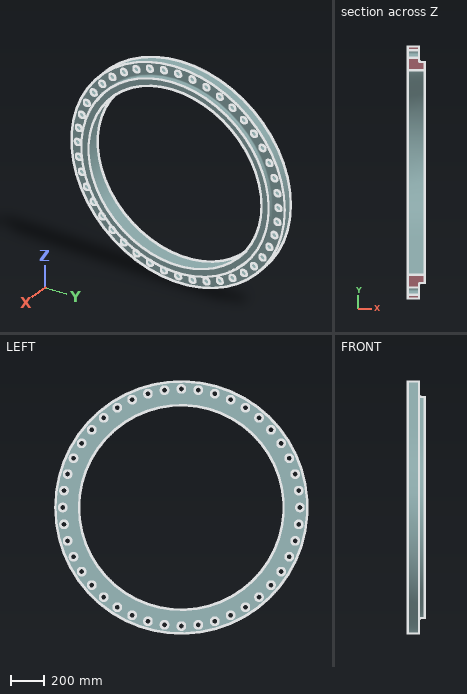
import cadquery as cq

outer_diameter = 1511.0
bore_diameter = 1224.0
flange_thickness = 70.0
total_thickness = 105.0

hub_diameter = 1327.0
hub_fillet_radius = 9.0

bolt_circle_diameter = 1420.0
bolt_hole_diameter = 42.0
bolt_count = 44


def disc(diameter, thickness):
    """Solid disc standing on the YZ plane and growing towards +X."""
    return cq.Workplane("YZ").circle(diameter / 2).extrude(thickness)


def flange_with_hub():
    """Flange and hub without any holes, filleted at the hub root."""
    body = disc(outer_diameter, flange_thickness).union(disc(hub_diameter, total_thickness))
    flange_back_edges = body.faces(cq.selectors.NearestToPointSelector(
        (flange_thickness, 0, 0))).edges()
    hub_root = flange_back_edges.edges(cq.selectors.RadiusNthSelector(0))
    return hub_root.fillet(hub_fillet_radius)


def bolt_holes():
    """Cylinders for the bolt holes, the first one on the Y axis."""
    return (
        cq.Workplane("YZ")
        .polarArray(bolt_circle_diameter / 2, 0, 360, bolt_count)
        .circle(bolt_hole_diameter / 2)
        .extrude(flange_thickness)
    )


bore = disc(bore_diameter, total_thickness)
result = flange_with_hub().cut(bore).cut(bolt_holes())